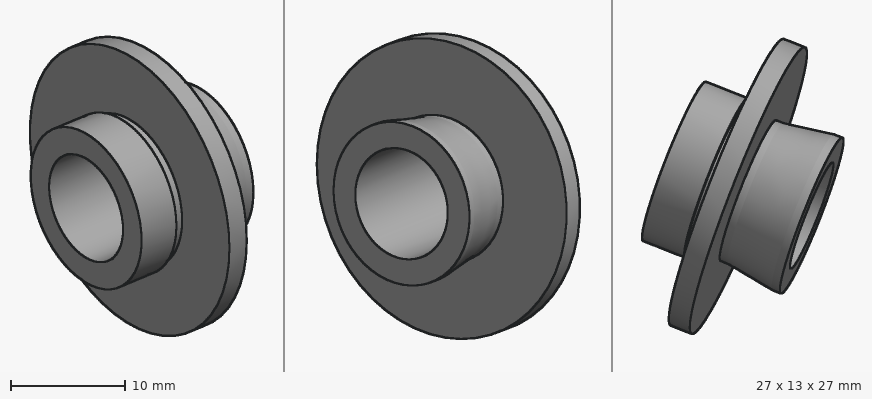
import cadquery as cq

flange_diameter = 27.0
bore_diameter = 10.0
collar_diameter = 15.0
front_neck_diameter = 14.2
rear_neck_diameter = 13.25
rear_lip_diameter = 14.7

total_length = 13.0
collar_length = 4.0
front_neck_length = 1.0
flange_thickness = 2.0
rear_neck_length = 0.75
rear_lip_length = 0.75

collar_back = collar_length
flange_front = collar_back + front_neck_length
flange_back = flange_front + flange_thickness
taper_start = flange_back + rear_neck_length
taper_end = total_length - rear_lip_length

bore_radius = bore_diameter / 2
collar_radius = collar_diameter / 2
front_neck_radius = front_neck_diameter / 2
flange_radius = flange_diameter / 2
rear_neck_radius = rear_neck_diameter / 2
rear_lip_radius = rear_lip_diameter / 2

half_section = [
    (bore_radius, 0),
    (collar_radius, 0),
    (collar_radius, collar_back),
    (front_neck_radius, collar_back),
    (front_neck_radius, flange_front),
    (flange_radius, flange_front),
    (flange_radius, flange_back),
    (rear_neck_radius, flange_back),
    (rear_neck_radius, taper_start),
    (rear_lip_radius, taper_end),
    (rear_lip_radius, total_length),
    (bore_radius, total_length),
]

result = (
    cq.Workplane("XY")
    .polyline(half_section)
    .close()
    .revolve(360, (0, 0, 0), (0, 1, 0))
)